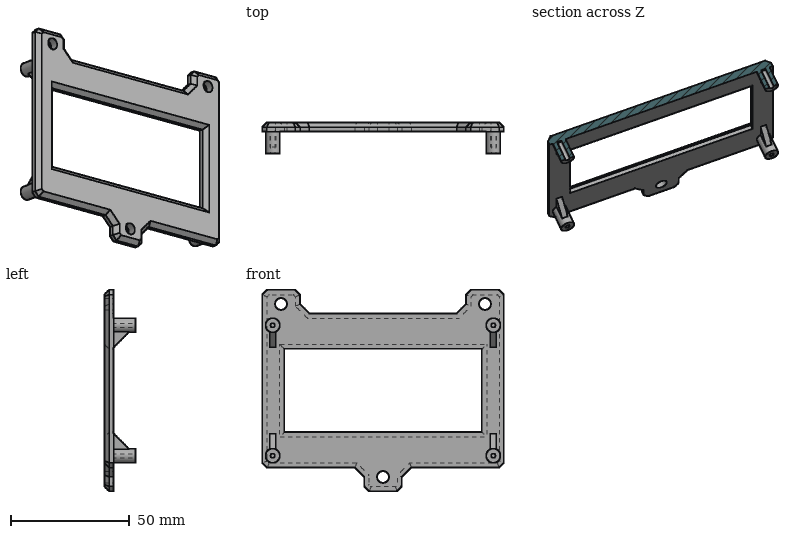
import cadquery as cq

width = 102.0
full_height = 85.0
thickness = 4.0
tab_width = 16.0
tab_height = 10.0
corner_cut = 2.0
shoulder = 4.0
back_chamfer = 2.0

window_side_border = 9.4
window_end_border = 15.0

hole_diameter = 4.9
hole_from_tab_end = 6.0

post_diameter = 6.0
pilot_diameter = 1.8
total_depth = 13.3
post_from_side = 4.5
post_from_body_end = 5.0
rib_width = 2.5
rib_leg = 6.3

half_width = width / 2
top = full_height / 2
bottom = -top
body_top = top - tab_height
body_bottom = bottom + tab_height
half_tab = tab_width / 2
tab_inner = half_width - tab_width
post_length = total_depth - thickness
post_x = half_width - post_from_side


def front_plane(y=0.0):
    """Sketch plane with local axes X and Z, extruding toward -Y."""
    return cq.Workplane("XZ", origin=(0, y, 0))


def make_plate():
    """Plate with two upper corner tabs and one lower centre tab."""
    right_half = [
        (tab_inner - shoulder, body_top),
        (tab_inner, body_top + shoulder),
        (tab_inner, top - corner_cut),
        (tab_inner + corner_cut, top),
        (half_width - corner_cut, top),
        (half_width, top - corner_cut),
        (half_width, body_bottom + corner_cut),
        (half_width - corner_cut, body_bottom),
        (half_tab + shoulder, body_bottom),
        (half_tab, body_bottom - shoulder),
        (half_tab, bottom + corner_cut),
        (half_tab - corner_cut, bottom),
    ]
    left_half = [(-x, z) for x, z in reversed(right_half)]
    return front_plane(thickness).polyline(right_half + left_half).close().extrude(thickness)


def make_window():
    window_width = width - 2 * window_side_border
    window_height = body_top - body_bottom - 2 * window_end_border
    window_z = (body_top + body_bottom) / 2
    return front_plane(thickness).center(0, window_z).rect(window_width, window_height).extrude(thickness)


def make_tab_holes():
    upper_x = half_width - half_tab
    upper_z = top - hole_from_tab_end
    centres = [(-upper_x, upper_z), (upper_x, upper_z), (0, bottom + hole_from_tab_end)]
    return front_plane(thickness).pushPoints(centres).circle(hole_diameter / 2).extrude(thickness)


def make_post(x, z, inward):
    """Post with a rib on the side facing the window; inward is the Z sign toward it."""
    rib_end = z + inward * (post_diameter / 2 + rib_leg)
    rib = (
        cq.Workplane("YZ", origin=(x - rib_width / 2, 0, 0))
        .polyline([(0, z), (0, rib_end), (-rib_leg, rib_end - inward * rib_leg), (-rib_leg, z)])
        .close()
        .extrude(rib_width)
    )
    post = front_plane().center(x, z).circle(post_diameter / 2).extrude(post_length)
    pilot = front_plane().center(x, z).circle(pilot_diameter / 2).extrude(post_length)
    return post.union(rib).cut(pilot)


frame = make_plate().cut(make_window()).faces(">Y").edges().chamfer(back_chamfer)
result = frame.cut(make_tab_holes())
for side in (-1, 1):
    result = result.union(make_post(side * post_x, body_top - post_from_body_end, -1))
    result = result.union(make_post(side * post_x, body_bottom + post_from_body_end, 1))